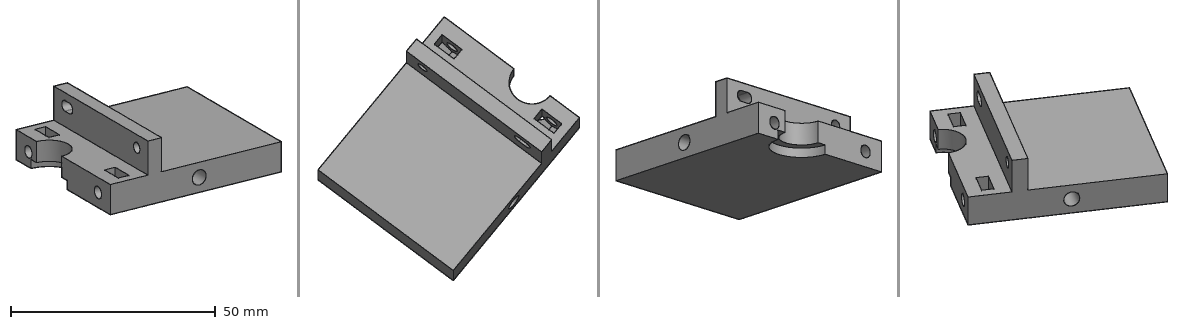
import cadquery as cq
import math

width = 42
length = 50
base_height = 8
mid_height = base_height / 2

wall_front = 11
wall_thickness = 4
total_height = 17

mount_diameter = 2.8
mount_height = 13.5
mount_inset = 5
slot_travel = 2

bore_x = 14.75
bore_diameter = 11.2
recess_diameter = 16
recess_height = 2.4

screw_diameter = 3.2
screw_inset = 5.5
screw_depth = 10
nut_front = 3.95
nut_thickness = 3.1
nut_across_flats = 6.15

cross_diameter = 4
cross_y = 26


def front_plane(y):
    """Workplane facing +Y, with local coordinates X and -Z."""
    return cq.Workplane("XZ", origin=(0, y, 0)).transformed(rotate=(180, 0, 0))


def box(x_size, y_size, z_size):
    return cq.Workplane("XY").box(x_size, y_size, z_size, centered=False)


def hole_along_y(x, z, diameter, start, depth):
    return front_plane(start).center(x, -z).circle(diameter / 2).extrude(depth)


def screw_with_nut(x):
    """Blind screw hole running through and past a nut pocket with a V-shaped floor."""
    half_flats = nut_across_flats / 2
    corner_radius = nut_across_flats / math.sqrt(3)
    pocket = (
        front_plane(nut_front)
        .moveTo(x - half_flats, -base_height)
        .lineTo(x + half_flats, -base_height)
        .lineTo(x + half_flats, -(mid_height - corner_radius / 2))
        .lineTo(x, -(mid_height - corner_radius))
        .lineTo(x - half_flats, -(mid_height - corner_radius / 2))
        .close()
        .extrude(nut_thickness)
    )
    screw = hole_along_y(x, mid_height, screw_diameter, 0, screw_depth)
    return pocket.union(screw)


result = box(width, length, base_height)
wall = box(width, wall_thickness, total_height).translate((0, wall_front, 0))
result = result.union(wall)

slot = (
    front_plane(wall_front)
    .center(mount_inset + slot_travel / 2, -mount_height)
    .slot2D(slot_travel + mount_diameter, mount_diameter)
    .extrude(wall_thickness)
)
round_hole = hole_along_y(width - mount_inset, mount_height, mount_diameter, wall_front, wall_thickness)
result = result.cut(slot).cut(round_hole)

for diameter, height in ((bore_diameter, base_height), (recess_diameter, recess_height)):
    cutter = cq.Workplane("XY").center(bore_x, 0).circle(diameter / 2).extrude(height)
    result = result.cut(cutter)

for screw_x in (screw_inset, width - screw_inset):
    result = result.cut(screw_with_nut(screw_x))

cross_hole = cq.Workplane("YZ").center(cross_y, mid_height).circle(cross_diameter / 2).extrude(width)
result = result.cut(cross_hole)